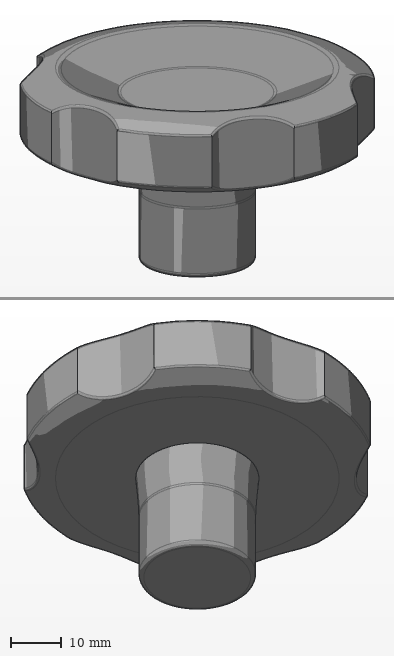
import cadquery as cq
import math

head_radius = 35.0
head_height = 16.0
crest_radius = 28.0
shoulder_drop = 2.6
head_edge_fillet = 0.55

scallop_count = 6
scallop_radius = 15.9
scallop_floor = 31.4

dish_floor_radius = 15.1
dish_depth = 5.05
dish_slope = math.radians(22.8)
dish_mouth_fillet = 2.9

total_height = 40.0
stem_radius = 23.0 / 2
stem_straight_height = 14.35
neck_start_height = 14.85
neck_blend_step = 0.015
neck_top_radius = 12.2
neck_middle_radius = 11.75
stem_end_fillet = 1.0

head_bottom = total_height - head_height
wall_bottom = head_bottom + shoulder_drop
wall_top = total_height - shoulder_drop
dish_floor = total_height - dish_depth

cone_run = crest_radius - dish_floor_radius - dish_depth / math.tan(dish_slope)
dish_floor_fillet = cone_run / math.tan(dish_slope / 2) - dish_mouth_fillet


def arc_offset(radius, angle):
    """Horizontal run and vertical drop along an arc that starts out horizontal."""
    return radius * math.sin(angle), radius * (1 - math.cos(angle))


def make_head():
    shoulder_width = head_radius - crest_radius
    shoulder_arc = (shoulder_width**2 + shoulder_drop**2) / (2 * shoulder_drop)
    half_angle = math.asin(shoulder_width / shoulder_arc) / 2
    middle_run, middle_drop = arc_offset(shoulder_arc, half_angle)
    middle_radius = crest_radius + middle_run

    mouth_run, mouth_drop = arc_offset(dish_mouth_fillet, dish_slope)
    mouth_mid_run, mouth_mid_drop = arc_offset(dish_mouth_fillet, dish_slope / 2)
    floor_run, floor_rise = arc_offset(dish_floor_fillet, dish_slope)
    floor_mid_run, floor_mid_rise = arc_offset(dish_floor_fillet, dish_slope / 2)

    blank = (
        cq.Workplane("XZ")
        .moveTo(0, head_bottom)
        .lineTo(crest_radius, head_bottom)
        .threePointArc((middle_radius, head_bottom + middle_drop), (head_radius, wall_bottom))
        .lineTo(head_radius, wall_top)
        .threePointArc((middle_radius, total_height - middle_drop), (crest_radius, total_height))
        .threePointArc(
            (crest_radius - mouth_mid_run, total_height - mouth_mid_drop),
            (crest_radius - mouth_run, total_height - mouth_drop),
        )
        .lineTo(dish_floor_radius + floor_run, dish_floor + floor_rise)
        .threePointArc(
            (dish_floor_radius + floor_mid_run, dish_floor + floor_mid_rise),
            (dish_floor_radius, dish_floor),
        )
        .lineTo(0, dish_floor)
        .close()
        .revolve(360, (0, 0), (0, 1))
    )
    scallops = (
        cq.Workplane("XY", origin=(0, 0, head_bottom))
        .polarArray(scallop_floor + scallop_radius, 90, 360, scallop_count)
        .circle(scallop_radius)
        .extrude(head_height)
    )
    head = blank.cut(scallops)
    outer_edges = [
        edge
        for edge in head.edges("not |Z").vals()
        if math.hypot(edge.startPoint().x, edge.startPoint().y) > scallop_floor
    ]
    return head.newObject(outer_edges).fillet(head_edge_fillet)


def make_stem():
    neck_middle_height = (neck_start_height + head_bottom) / 2
    return (
        cq.Workplane("XZ")
        .lineTo(stem_radius, 0)
        .lineTo(stem_radius, stem_straight_height)
        .lineTo(stem_radius + neck_blend_step, neck_start_height)
        .threePointArc((neck_middle_radius, neck_middle_height), (neck_top_radius, head_bottom))
        .lineTo(0, head_bottom)
        .close()
        .revolve(360, (0, 0), (0, 1))
        .faces("<Z")
        .edges()
        .fillet(stem_end_fillet)
    )


result = make_head().union(make_stem())